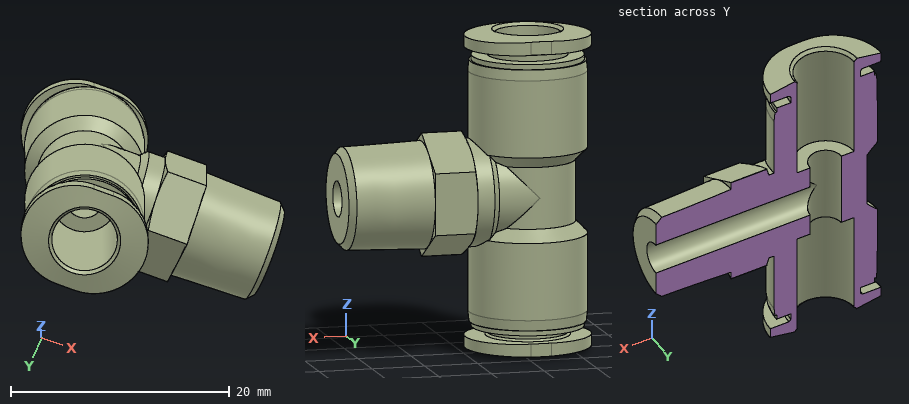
import cadquery as cq

total_height = 30.0
half_height = total_height / 2
waist_diameter = 8.8
waist_half_height = 2.88
body_diameter = 11.0
body_start = waist_half_height + (body_diameter - waist_diameter) / 2
body_taper_start = 11.2
body_step = 12.18
body_step_diameter = 10.8
body_lip_diameter = 10.4
body_end = 12.65

neck_diameter = 7.4
neck_flare = 0.2
flange_length = 11.8
flange_width = 9.85
flange_bottom = 13.47
flange_face_drop = 0.45

tube_diameter = 6.0
tube_mouth_diameter = 6.6
tube_stop = body_start
bore_diameter = 3.3

branch_diameter = 10.0
overall_length = 23.9
branch_end = overall_length - flange_length / 2
branch_cone_start = 3.8
branch_cone_end = branch_cone_start + (branch_diameter - waist_diameter) / 2
hex_start = 6.0
hex_end = 10.05
hex_across_corners = 11.55
hex_chamfer_length = 0.25
thread_taper = 1 / 16
thread_chamfer = 0.6


def revolve_z(profile):
    """Solid turned about Z from (radius, height) points."""
    return cq.Workplane("XZ").polyline(profile).close().revolve(360, (0, 0, 0), (0, 1, 0))


def revolve_x(profile):
    """Solid turned about X from (position, radius) points."""
    return cq.Workplane("XY").polyline(profile).close().revolve(360, (0, 0, 0), (1, 0, 0))


def make_body():
    """Upper half of the turned run."""
    return revolve_z([
        (0, 0),
        (waist_diameter / 2, 0),
        (waist_diameter / 2, waist_half_height),
        (body_diameter / 2, body_start),
        (body_diameter / 2, body_taper_start),
        (body_step_diameter / 2, body_step),
        (body_lip_diameter / 2, body_step),
        (body_lip_diameter / 2, body_end),
        (0, body_end),
    ])


def make_collar():
    """Neck and obround flange whose face is a shallow cone."""
    neck_radius = neck_diameter / 2
    neck = revolve_z([
        (0, body_step),
        (neck_radius, body_step),
        (neck_radius, flange_bottom - neck_flare),
        (neck_radius + neck_flare, flange_bottom),
        (0, flange_bottom),
    ])
    flange = (
        cq.Workplane("XY", origin=(0, 0, flange_bottom))
        .slot2D(flange_length, flange_width)
        .extrude(half_height - flange_bottom)
    )
    face_envelope = revolve_z([
        (0, flange_bottom),
        (flange_length / 2, flange_bottom),
        (flange_length / 2, half_height - flange_face_drop),
        (tube_mouth_diameter / 2, half_height),
        (0, half_height),
    ])
    return neck.union(flange.intersect(face_envelope))


def make_socket():
    """Tube socket with a chamfered mouth."""
    tube_radius = tube_diameter / 2
    mouth_radius = tube_mouth_diameter / 2
    return revolve_z([
        (0, tube_stop),
        (tube_radius, tube_stop),
        (tube_radius, half_height - (mouth_radius - tube_radius)),
        (mouth_radius, half_height),
        (0, half_height),
    ])


def make_hex():
    """Hexagon with corners on +Z and -Z, chamfered on its inner face."""
    hexagon = (
        cq.Workplane("YZ", origin=(hex_start, 0, 0))
        .transformed(rotate=(0, 0, 90))
        .polygon(6, hex_across_corners)
        .extrude(hex_end - hex_start)
    )
    chamfer_envelope = revolve_x([
        (hex_start, 0),
        (hex_start, branch_diameter / 2),
        (hex_start + hex_chamfer_length, hex_across_corners / 2),
        (hex_end, hex_across_corners / 2),
        (hex_end, 0),
    ])
    return hexagon.intersect(chamfer_envelope)


def make_branch():
    """Shank, collar, hexagon and tapered thread blank."""
    shank_radius = waist_diameter / 2
    collar_radius = branch_diameter / 2
    thread_end = branch_end - thread_chamfer
    thread_end_radius = collar_radius - (thread_end - hex_end) * thread_taper / 2
    turned = revolve_x([
        (0, 0),
        (0, shank_radius),
        (branch_cone_start, shank_radius),
        (branch_cone_end, collar_radius),
        (hex_end, collar_radius),
        (thread_end, thread_end_radius),
        (branch_end, thread_end_radius - thread_chamfer),
        (branch_end, 0),
    ])
    return turned.union(make_hex())


upper_end = make_body().union(make_collar())
run = upper_end.union(upper_end.mirror("XY"))
upper_socket = make_socket()
run_bore = cq.Workplane("XY").circle(bore_diameter / 2).extrude(half_height, both=True)
branch_bore = cq.Workplane("YZ").circle(bore_diameter / 2).extrude(branch_end)

result = (
    run.union(make_branch())
    .cut(upper_socket)
    .cut(upper_socket.mirror("XY"))
    .cut(run_bore)
    .cut(branch_bore)
)